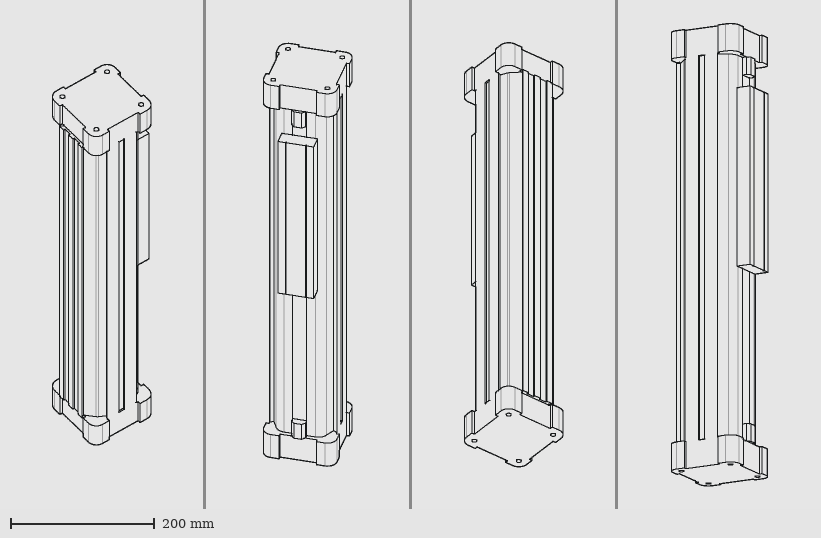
import cadquery as cq

LENGTH = 630.0
CAP_WIDTH = 106.0
CAP_HEIGHT = 39.0
CAP_CORNER_RADIUS = 14.0
RELIEF_WIDTH = 53.5
RELIEF_DEPTH = 4.5
BOLT_DIAMETER = 7.0
BOLT_SPACING = 78.0
BOLT_DEPTH = 16.0
BOLT_TIP_DEPTH = 2.0

RAIL_CENTRE_Y = -2.0
RAIL_HALF_WIDTH = 26.0
SIDE_X = CAP_WIDTH / 2 - RELIEF_DEPTH
FRONT_Y = -54.0
BACK_Y = 42.0
RAIL_HEIGHT = 5.35
RAIL_UNDERCUT = 3.0
CORNER_X = 37.0
CORNER_Y = 34.0
FRONT_ROOT_RISE = 5.0
FRONT_CORNER_RADIUS = 9.5
BACK_CORNER_RADIUS = 15.0
SLOT_DEPTH = 2.5
SLOT_WIDTH = 9.5
FRONT_SLOT_WIDTH = 11.5
FRONT_SLOT_OFFSET = 11.0

CARRIAGE_WIDTH = 51.5
CARRIAGE_TOP_Y = 63.0
CARRIAGE_LENGTH = 256.5
CARRIAGE_CENTRE_Z = 101.0
SCORE_OFFSET = 14.5
SCORE_WIDTH = 0.5
SCORE_DEPTH = 2.0

BAND_WIDTH = 20.0
BAND_THICKNESS = 2.5
CLAMP_LENGTH = 25.0
CLAMP_CHAMFER = 4.5

TUBE_LENGTH = LENGTH - 2 * CAP_HEIGHT
TUBE_END = TUBE_LENGTH / 2
CAP_HALF = CAP_WIDTH / 2


def centred_box(width, depth, height, x=0.0, y=0.0, z=0.0):
    return cq.Workplane("XY").box(width, depth, height).translate((x, y, z))


def round_edge(body, x, y, radius):
    """Round the lengthwise edge nearest to the given place."""
    return body.edges("|Z").edges(cq.selectors.NearestToPointSelector((x, y, 0))).fillet(radius)


def make_tube():
    root_x = SIDE_X - RAIL_HEIGHT
    rail_root = RAIL_HALF_WIDTH - RAIL_UNDERCUT
    flank_slope = (root_x - CORNER_X) / (CORNER_Y - rail_root)
    back_corner_x = root_x - flank_slope * (BACK_Y - RAIL_CENTRE_Y - rail_root)
    front_corner_y = RAIL_CENTRE_Y - CORNER_Y
    half_outline = [
        (RAIL_HALF_WIDTH, FRONT_Y),
        (rail_root, FRONT_Y + FRONT_ROOT_RISE),
        (CORNER_X, front_corner_y),
        (root_x, RAIL_CENTRE_Y - rail_root),
        (SIDE_X, RAIL_CENTRE_Y - RAIL_HALF_WIDTH),
        (SIDE_X, RAIL_CENTRE_Y + RAIL_HALF_WIDTH),
        (root_x, RAIL_CENTRE_Y + rail_root),
        (back_corner_x, BACK_Y),
    ]
    mirrored_outline = [(-x, y) for x, y in reversed(half_outline)]
    tube = (
        cq.Workplane("XY")
        .polyline(half_outline + mirrored_outline)
        .close()
        .extrude(TUBE_END, both=True)
    )
    for side in (-1, 1):
        tube = round_edge(tube, side * CORNER_X, front_corner_y, FRONT_CORNER_RADIUS)
        tube = round_edge(tube, side * back_corner_x, BACK_Y, BACK_CORNER_RADIUS)
    for side in (-1, 1):
        side_slot = centred_box(
            2 * SLOT_DEPTH, SLOT_WIDTH, TUBE_LENGTH, x=side * SIDE_X, y=RAIL_CENTRE_Y
        )
        front_slot = centred_box(
            FRONT_SLOT_WIDTH, 2 * SLOT_DEPTH, TUBE_LENGTH, x=side * FRONT_SLOT_OFFSET, y=FRONT_Y
        )
        tube = tube.cut(side_slot).cut(front_slot)
    return tube


def make_cap():
    """Top end cap, with its outer face at half the overall length."""
    cap = centred_box(CAP_WIDTH, CAP_WIDTH, CAP_HEIGHT, z=TUBE_END + CAP_HEIGHT / 2)
    cap = cap.edges("|Z").fillet(CAP_CORNER_RADIUS)
    relief = centred_box(RELIEF_WIDTH, 2 * RELIEF_DEPTH, LENGTH, y=CAP_HALF)
    for quarter in range(4):
        cap = cap.cut(relief.rotate((0, 0, 0), (0, 0, 1), 90 * quarter))
    radius = BOLT_DIAMETER / 2
    bolt_hole = (
        cq.Workplane("XZ")
        .polyline([
            (0, 0),
            (radius, 0),
            (radius, -BOLT_DEPTH),
            (0, -BOLT_DEPTH - BOLT_TIP_DEPTH),
        ])
        .close()
        .revolve(360, (0, 0), (0, 1))
    )
    for x in (-BOLT_SPACING / 2, BOLT_SPACING / 2):
        for y in (-BOLT_SPACING / 2, BOLT_SPACING / 2):
            cap = cap.cut(bolt_hole.translate((x, y, LENGTH / 2)))
    return cap


def make_band():
    """Flat strip let into the tube's back face, with a raised clamp block at each end."""
    band = centred_box(BAND_WIDTH, BAND_THICKNESS, TUBE_LENGTH, y=BACK_Y - BAND_THICKNESS / 2)
    clamp_height = CAP_HALF - BACK_Y
    clamp = centred_box(BAND_WIDTH, clamp_height, CLAMP_LENGTH, y=BACK_Y + clamp_height / 2)
    clamp = clamp.faces(">Y").edges("|Z").chamfer(CLAMP_CHAMFER)
    for end in (-1, 1):
        band = band.union(clamp.translate((0, 0, end * (TUBE_END - CLAMP_LENGTH / 2))))
    return band


def make_housing(band):
    """Tube and both end caps in one piece, grooved for the band."""
    cap = make_cap()
    housing = make_tube().union(cap).union(cap.mirror("XY"))
    return housing.cut(band).clean()


def make_carriage():
    height = CARRIAGE_TOP_Y - BACK_Y
    carriage = centred_box(CARRIAGE_WIDTH, height, CARRIAGE_LENGTH, y=BACK_Y + height / 2)
    for x in (-SCORE_OFFSET, SCORE_OFFSET):
        score = centred_box(SCORE_WIDTH, 2 * SCORE_DEPTH, CARRIAGE_LENGTH, x=x, y=CARRIAGE_TOP_Y)
        carriage = carriage.cut(score)
    return carriage.translate((0, 0, CARRIAGE_CENTRE_Z))


band = make_band()
housing = make_housing(band)
carriage = make_carriage()

result = cq.Compound.makeCompound([housing.val(), carriage.val(), band.val()])